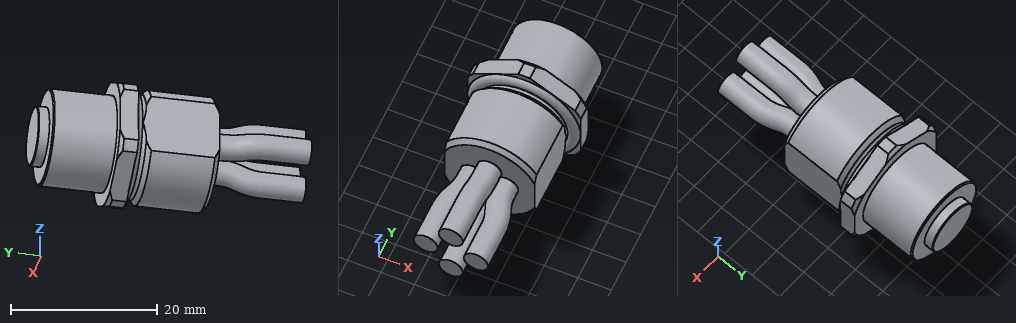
import cadquery as cq
import math


plug_diameter = 8.3
body_diameter = 13.5
grip_diameter = 16.0

plug_length = 1.52
barrel_length = 8.93
flange_thickness = 2.6
neck_length = 1.03
grip_fillet = 0.45
grip_length = 10.3

plug_chamfer = 0.1
barrel_chamfer = 0.2
grip_chamfer = 0.7
flange_chamfer_length = 0.57
flange_chamfer_depth = 0.5

flange_across_flats = 17.0
flange_corner_diameter = 18.7

ring_radius = 1.0
ring_centre_radius = 7.45
ring_burial = 0.2

wire_count = 4
wire_diameter = 3.6
wire_inner_offset = 2.5
wire_outer_offset = 3.75
wire_root_length = 1.2
wire_bend_length = 5.95
wire_end_length = 6.0

flange_back = flange_thickness
barrel_end = flange_back + barrel_length
plug_end = barrel_end + plug_length
grip_start = -neck_length
grip_shoulder = grip_start - grip_fillet
grip_end = grip_shoulder - grip_length

body_radius = body_diameter / 2
grip_radius = grip_diameter / 2


def cylinder(diameter, y_start, y_end):
    """Cylinder on the Y axis from y_start up to y_end."""
    return cq.Workplane("XZ", origin=(0, y_start, 0)).circle(diameter / 2).extrude(y_start - y_end)


def revolve_about_y(profile):
    """Full turn of a closed XY profile about the Y axis."""
    return profile.revolve(360, (0, 0, 0), (0, 1, 0))


def make_core():
    """Neck and barrel on one diameter, with the plug standing on the end."""
    barrel = cylinder(body_diameter, grip_start, barrel_end).faces(">Y").chamfer(barrel_chamfer)
    plug = cylinder(plug_diameter, barrel_end, plug_end).faces(">Y").chamfer(plug_chamfer)
    return barrel.union(plug)


def make_flange():
    """Hexagon with flats on +X and -X, inside a cylinder chamfered at the back."""
    hex_corner_diameter = flange_across_flats / math.cos(math.pi / 6)
    hexagon = (
        cq.Workplane("XZ")
        .transformed(rotate=(0, 0, 30))
        .polygon(6, hex_corner_diameter)
        .extrude(-flange_thickness)
    )
    corner_radius = flange_corner_diameter / 2
    corner_limit = revolve_about_y(
        cq.Workplane("XY")
        .moveTo(0, 0)
        .lineTo(corner_radius, 0)
        .lineTo(corner_radius, flange_back - flange_chamfer_length)
        .lineTo(corner_radius - flange_chamfer_depth, flange_back)
        .lineTo(0, flange_back)
        .close()
    )
    return hexagon.intersect(corner_limit)


def make_ring():
    """Round sealing ring in front of the flange."""
    return revolve_about_y(
        cq.Workplane("XY").moveTo(ring_centre_radius, ring_burial).circle(ring_radius)
    )


def make_grip():
    """Turned grip with a concave fillet to the neck and two flats facing X."""
    fillet_sag = grip_fillet * (1 - math.sqrt(0.5))
    turned = revolve_about_y(
        cq.Workplane("XY")
        .moveTo(0, grip_start)
        .lineTo(body_radius, grip_start)
        .threePointArc(
            (body_radius + fillet_sag, grip_shoulder + fillet_sag),
            (body_radius + grip_fillet, grip_shoulder),
        )
        .lineTo(grip_radius - grip_chamfer, grip_shoulder)
        .lineTo(grip_radius, grip_shoulder - grip_chamfer)
        .lineTo(grip_radius, grip_end + grip_chamfer)
        .lineTo(grip_radius - grip_chamfer, grip_end)
        .lineTo(0, grip_end)
        .close()
    )
    slab_length = grip_start - grip_end
    slab = cq.Workplane("XY").box(body_diameter, slab_length, grip_diameter)
    return turned.intersect(slab.translate((0, (grip_start + grip_end) / 2, 0)))


def make_wire():
    """One wire on the +X side: straight root, outward S-bend of two equal arcs, straight end."""
    shift = wire_outer_offset - wire_inner_offset
    bend_angle = 2 * math.atan(shift / wire_bend_length)
    bend_radius = wire_bend_length / (2 * math.sin(bend_angle))
    half_run = bend_radius * math.sin(bend_angle / 2)
    half_rise = bend_radius * (1 - math.cos(bend_angle / 2))

    bend_start = grip_end - wire_root_length
    bend_end = bend_start - wire_bend_length
    path = (
        cq.Workplane("XY")
        .moveTo(wire_inner_offset, grip_end)
        .lineTo(wire_inner_offset, bend_start)
        .threePointArc(
            (wire_inner_offset + half_rise, bend_start - half_run),
            (wire_inner_offset + shift / 2, (bend_start + bend_end) / 2),
        )
        .threePointArc(
            (wire_outer_offset - half_rise, bend_end + half_run),
            (wire_outer_offset, bend_end),
        )
        .lineTo(wire_outer_offset, bend_end - wire_end_length)
    )
    section = cq.Workplane("XZ", origin=(wire_inner_offset, grip_end, 0)).circle(wire_diameter / 2)
    return section.sweep(path)


result = make_core().union(make_flange()).union(make_ring()).union(make_grip())
wire = make_wire()
for index in range(wire_count):
    turn = index * 360 / wire_count
    result = result.union(wire.rotate((0, 0, 0), (0, 1, 0), turn))